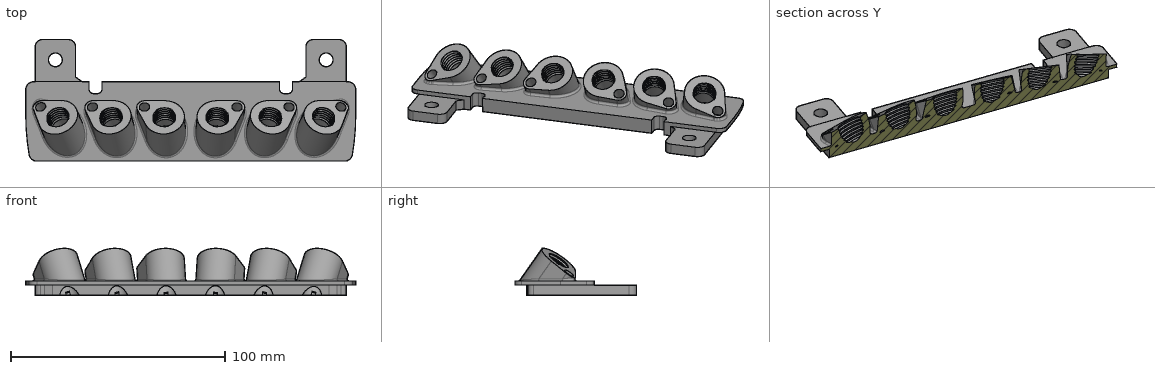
import cadquery as cq
import math

plate_length = 154.0
plate_depth = 37.1
plate_thickness = 2.0
plate_front_half_length = 74.8
taper_start_y = 21.4
plate_corner_radius = 3.7

base_thickness = 4.8
base_length = 145.2
base_front_y = 5.5
base_corner_radius = 2.5
base_corner_flat = 2.0
base_corner_slope = 3.7
base_corner_setback = 0.6
overall_depth = 56.8
ear_width = 19.0
ear_corner_radius = 3.5
ear_root_run = 3.1
ear_root_rise = 2.2
ear_hole_diameter = 6.3
ear_hole_inset = 9.5

notch_width = 6.0
notch_depth = 5.5
notch_spacing = 88.9
notch_corner_radius = 2.2

overall_height = 22.0
sockets_per_side = 3
socket_pitch = 24.8
socket_face_y = 20.5
socket_diameter = 19.0
socket_lean = 35.0
fan_step = 3.4
bore_diameter = 10.6
thread_diameter = 12.2
thread_pitch = 1.5
thread_turns = 6
keyway_width = 1.8
keyway_depth = 1.0
keyway_start = 14.8
pin_hole_diameter = 4.8
pin_hole_depth = 7.7
pin_offset_x = 9.4
pin_offset_y = 5.9
foot_fillet = 1.0

plate_top = base_thickness + plate_thickness
socket_radius = socket_diameter / 2
lobe_radius = socket_radius - pin_offset_y
through_length = 3 * overall_height


def make_plate():
    half = plate_length / 2
    front = plate_front_half_length
    inset = half - front
    taper_radius = (taper_start_y**2 + inset**2) / (2 * inset)
    mid_y = taper_start_y / 2
    mid_x = half - taper_radius + math.sqrt(taper_radius**2 - mid_y**2)
    return (
        cq.Workplane("XY")
        .workplane(offset=base_thickness)
        .moveTo(-front, 0)
        .lineTo(front, 0)
        .threePointArc((mid_x, mid_y), (half, taper_start_y))
        .lineTo(half, plate_depth)
        .lineTo(-half, plate_depth)
        .lineTo(-half, taper_start_y)
        .threePointArc((-mid_x, mid_y), (-front, 0))
        .close()
        .extrude(plate_thickness)
        .edges("|Z")
        .fillet(plate_corner_radius)
    )


def make_base():
    half = base_length / 2
    ear_inner = half - ear_width
    corner_y = base_front_y + base_corner_setback
    flat_end = half - base_corner_radius - base_corner_flat
    right_side = [
        (flat_end - base_corner_slope, base_front_y),
        (flat_end, corner_y),
        (half, corner_y),
        (half, overall_depth),
        (ear_inner, overall_depth),
        (ear_inner, plate_depth + ear_root_rise),
        (ear_inner - ear_root_run, plate_depth),
    ]
    left_side = [(-x, y) for x, y in reversed(right_side)]
    base = cq.Workplane("XY").polyline(right_side + left_side).close().extrude(base_thickness)
    base = base.edges("|Z and >Y").fillet(ear_corner_radius)
    base = base.edges("|Z").edges("<X or >X").edges("<Y").fillet(base_corner_radius)
    hole_x = half - ear_width / 2
    hole_y = overall_depth - ear_hole_inset
    ear_holes = (
        cq.Workplane("XY")
        .pushPoints([(side * hole_x, hole_y) for side in (-1, 1)])
        .circle(ear_hole_diameter / 2)
        .extrude(base_thickness)
    )
    return base.cut(ear_holes)


def make_notches():
    return (
        cq.Workplane("XY")
        .pushPoints([(side * notch_spacing / 2, plate_depth) for side in (-1, 1)])
        .rect(notch_width, 2 * notch_depth)
        .extrude(plate_top)
        .edges("|Z and <Y")
        .fillet(notch_corner_radius)
    )


def socket_plane(side, index):
    """Plane of a socket's slanted mouth, its normal along the bore."""
    sideways = math.tan(math.radians(fan_step * (2 * index + 1)))
    axis = cq.Vector(side * sideways, math.tan(math.radians(socket_lean)), 1).normalized()
    mouth_x = side * socket_pitch * (index + 0.5)
    mouth_z = overall_height - socket_radius * math.sqrt(1 - axis.z**2)
    return cq.Plane((mouth_x, socket_face_y, mouth_z), (1, 0, -axis.x / axis.z), axis)


def mouth_outline(plane, side):
    """Teardrop around the bore and the smaller lobe of the pin hole."""
    lobe = (side * pin_offset_x, pin_offset_y)
    distance = math.hypot(*lobe)
    toward_lobe = math.atan2(lobe[1], lobe[0])
    spread = math.acos((socket_radius - lobe_radius) / distance)

    def rim(center, radius, angle):
        return (center[0] + radius * math.cos(angle), center[1] + radius * math.sin(angle))

    start = toward_lobe + spread
    end = toward_lobe - spread
    return (
        cq.Workplane(plane)
        .moveTo(*rim((0, 0), socket_radius, start))
        .threePointArc(
            rim((0, 0), socket_radius, toward_lobe + math.pi),
            rim((0, 0), socket_radius, end),
        )
        .lineTo(*rim(lobe, lobe_radius, end))
        .threePointArc(rim(lobe, lobe_radius, toward_lobe), rim(lobe, lobe_radius, start))
        .close()
        .wire()
        .val()
    )


def make_socket(side, index):
    plane = socket_plane(side, index)
    outline = mouth_outline(plane, side)
    tube = cq.Workplane(cq.Solid.extrudeLinear(outline, [], plane.zDir * -through_length))
    above_plate = (
        cq.Workplane("XY")
        .workplane(offset=plate_top)
        .rect(2 * plate_length, 4 * plate_depth)
        .extrude(overall_height)
    )
    return tube.intersect(above_plate)


def make_socket_cut(side, index):
    """Through bore with V grooves for its thread, a keyway at its lower end and a blind pin hole."""
    root = bore_diameter / 2
    crest = thread_diameter / 2
    profile = [(0, 0)]
    for turn in range(thread_turns):
        groove_top = -turn * thread_pitch
        profile.append((root, groove_top))
        profile.append((crest, groove_top - thread_pitch / 2))
    profile.append((root, -thread_turns * thread_pitch))
    profile.append((root, -through_length))
    profile.append((0, -through_length))

    plane = socket_plane(side, index)
    bore_section = cq.Plane(plane.origin, plane.xDir, plane.yDir * -1)
    bore = cq.Workplane(bore_section).polyline(profile).close().revolve(360, (0, 0), (0, 1))
    pin_hole = (
        cq.Workplane(plane)
        .center(side * pin_offset_x, pin_offset_y)
        .circle(pin_hole_diameter / 2)
        .extrude(-pin_hole_depth)
    )
    keyway = (
        cq.Workplane(plane)
        .workplane(offset=-keyway_start)
        .center(0, (root + keyway_depth) / 2)
        .rect(keyway_width, root + keyway_depth)
        .extrude(-through_length)
    )
    return bore.union(pin_hole).union(keyway)


def add_socket(plate, side, index):
    """Join a socket to the plate and round the corner at its foot."""
    joined = plate.union(make_socket(side, index))
    selection_slack = 0.02
    edge_margin = plate_corner_radius / 2
    foot_edges = joined.edges(
        cq.selectors.BoxSelector(
            (-plate_front_half_length, edge_margin, plate_top - selection_slack),
            (plate_front_half_length, plate_depth - edge_margin, plate_top + selection_slack),
        )
    )
    return foot_edges.fillet(foot_fillet)


places = [(side, index) for side in (-1, 1) for index in range(sockets_per_side)]

plate = make_plate()
body = plate.union(make_base())
for side, index in places:
    body = body.union(add_socket(plate, side, index))
body = body.cut(make_notches())
for side, index in places:
    body = body.cut(make_socket_cut(side, index))
result = body